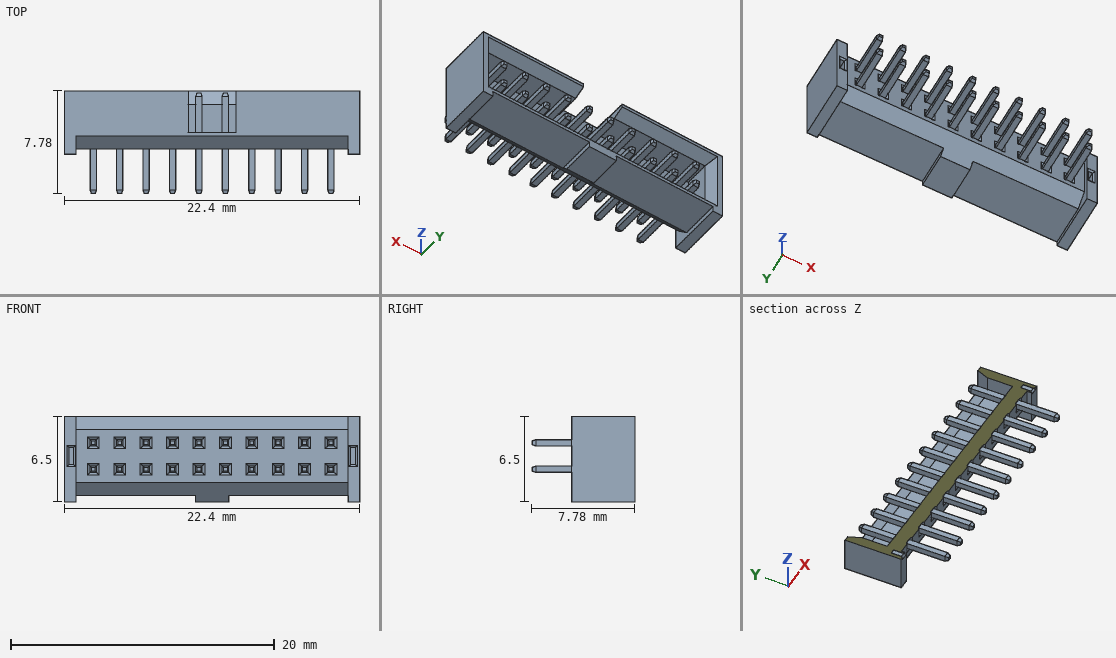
import cadquery as cq


length = 22.4
body_height = 6.0
rim_y = 4.4
body_chamfer = 1.0
key_width = 2.53
key_height = 0.5

end_thickness = 0.9
end_overhang = 0.4

wall = 0.72
cavity_depth = 3.15
lead_in_depth = 1.03
lead_in_inset = 0.4
notch_width = 3.6

pins_per_row = 10
rows = 2
row_length = 18.0
pin_width = 0.5
pin_front_y = -3.38
pin_back_gap = 0.15
tip_length = 0.27
tip_width = 0.3
pocket_width = 0.9

slot_margin = 0.2
slot_width = 0.65
slot_height = 1.6
slot_bevel = 0.145
slot_depth = 1.0

body_top = body_height / 2
body_bottom = -body_top
key_bottom = body_bottom - key_height
end_front_y = -end_overhang
cavity_floor_y = rim_y - cavity_depth
cavity_length = length - 2 * end_thickness
cavity_height = body_height - 2 * wall
pitch = row_length / (pins_per_row - 1)
slot_x = length / 2 - slot_margin - slot_width / 2


def box(x_range, y_range, z_range):
    """Box between the given limits along each axis."""
    size = [high - low for low, high in (x_range, y_range, z_range)]
    corner = (x_range[0], y_range[0], z_range[0])
    return cq.Workplane("XY").box(*size, centered=False).translate(corner)


def bar(x, z, y_range, width, height):
    """Rectangular bar along Y, centred on x and z."""
    return box(
        (x - width / 2, x + width / 2),
        y_range,
        (z - height / 2, z + height / 2),
    )


def frustum(x, z, start_y, start_size, end_y, end_size):
    """Rectangular frustum along Y; each size is (width, height)."""
    return (
        cq.Workplane("XZ", origin=(x, start_y, z))
        .rect(*start_size)
        .workplane(offset=start_y - end_y)
        .rect(*end_size)
        .loft(combine=True)
    )


def prism(profile, width):
    """Prism with a (y, z) profile, centred across X."""
    return cq.Workplane("YZ").polyline(profile).close().extrude(width / 2, both=True)


def make_housing():
    housing = prism(
        [
            (0, body_bottom + body_chamfer),
            (0, body_top - body_chamfer),
            (body_chamfer, body_top),
            (rim_y, body_top),
            (rim_y, body_bottom),
            (body_chamfer, body_bottom),
        ],
        length - end_thickness,
    )
    key = prism(
        [
            (0, body_bottom + body_chamfer),
            (rim_y, body_bottom + body_chamfer),
            (rim_y, key_bottom),
            (body_chamfer + key_height, key_bottom),
        ],
        key_width,
    )
    housing = housing.union(key)
    plate_x = (length - end_thickness) / 2
    for x in (-plate_x, plate_x):
        plate = box(
            (x - end_thickness / 2, x + end_thickness / 2),
            (end_front_y, rim_y),
            (key_bottom, body_top),
        )
        housing = housing.union(plate)
    return housing


def make_cavity():
    cavity = bar(0, 0, (cavity_floor_y, rim_y), cavity_length, cavity_height)
    lead_in = frustum(
        0,
        0,
        rim_y - lead_in_depth,
        (cavity_length, cavity_height),
        rim_y,
        (cavity_length + 2 * lead_in_inset, cavity_height + 2 * lead_in_inset),
    )
    notch = box((-notch_width / 2, notch_width / 2), (cavity_floor_y, rim_y), (0, body_top))
    return cavity.union(lead_in).union(notch)


def make_end_slot(x):
    inner_size = (slot_width - 2 * slot_bevel, slot_height - 2 * slot_bevel)
    slot = bar(x, 0, (end_front_y, end_front_y + slot_depth), *inner_size)
    mouth = frustum(
        x, 0, end_front_y, (slot_width, slot_height), end_front_y + slot_bevel, inner_size
    )
    return slot.union(mouth)


def make_pin_pocket(x, z):
    depth = (pocket_width - pin_width) / 2
    return frustum(x, z, 0, (pocket_width, pocket_width), depth, (pin_width, pin_width))


def make_pin(x, z):
    front_shoulder = pin_front_y + tip_length
    back_end = rim_y - pin_back_gap
    back_shoulder = back_end - tip_length
    shank_size = (pin_width, pin_width)
    tip_size = (tip_width, tip_width)
    shank = bar(x, z, (front_shoulder, back_shoulder), *shank_size)
    front_tip = frustum(x, z, front_shoulder, shank_size, pin_front_y, tip_size)
    back_tip = frustum(x, z, back_shoulder, shank_size, back_end, tip_size)
    return shank.union(front_tip).union(back_tip)


pin_places = [
    ((column - (pins_per_row - 1) / 2) * pitch, (row - (rows - 1) / 2) * pitch)
    for column in range(pins_per_row)
    for row in range(rows)
]

result = make_housing().cut(make_cavity())
for side in (-1, 1):
    result = result.cut(make_end_slot(side * slot_x))
for pin_x, pin_z in pin_places:
    result = result.cut(make_pin_pocket(pin_x, pin_z))
    result = result.union(make_pin(pin_x, pin_z))